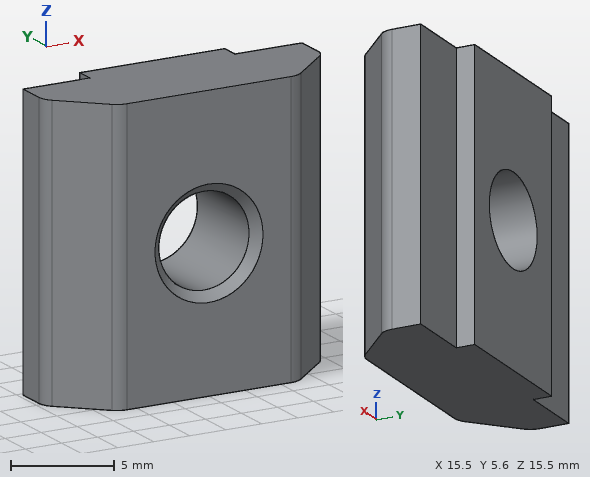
import cadquery as cq

width = 15.5
length = 15.5
thickness = 5.6
tongue_width = 8.06
tongue_height = 1.0
face_width = 9.92
side_height = 2.02
corner_radius = 1.0
bore_diameter = 5.0
countersink_diameter = 6.0

front_y = -thickness / 2
back_y = thickness / 2
shoulder_y = back_y - tongue_height
bevel_y = shoulder_y - side_height
countersink_depth = (countersink_diameter - bore_diameter) / 2


def make_body():
    """Bevelled bar along Z with rounded bevel corners."""
    body = (
        cq.Workplane("XY", origin=(0, 0, -length / 2))
        .moveTo(-width / 2, shoulder_y)
        .lineTo(-width / 2, bevel_y)
        .lineTo(-face_width / 2, front_y)
        .lineTo(face_width / 2, front_y)
        .lineTo(width / 2, bevel_y)
        .lineTo(width / 2, shoulder_y)
        .close()
        .extrude(length)
    )
    margin = tongue_height / 2
    bevel_zone = cq.selectors.BoxSelector(
        (-width, front_y - margin, -length),
        (width, bevel_y + margin, length),
    )
    return body.edges("|Z").edges(bevel_zone).fillet(corner_radius)


def make_tongue():
    """Raised rib on the back, running the full length."""
    return cq.Workplane("XY").box(tongue_width, tongue_height, length).translate(
        (0, back_y - tongue_height / 2, 0)
    )


def make_bore():
    """Through bore along Y with a 45 degree countersink in the front face."""
    bore_radius = bore_diameter / 2
    return (
        cq.Workplane("XY")
        .moveTo(0, front_y)
        .lineTo(countersink_diameter / 2, front_y)
        .lineTo(bore_radius, front_y + countersink_depth)
        .lineTo(bore_radius, back_y)
        .lineTo(0, back_y)
        .close()
        .revolve(360, (0, 0, 0), (0, 1, 0))
    )


result = make_body().union(make_tongue()).cut(make_bore())